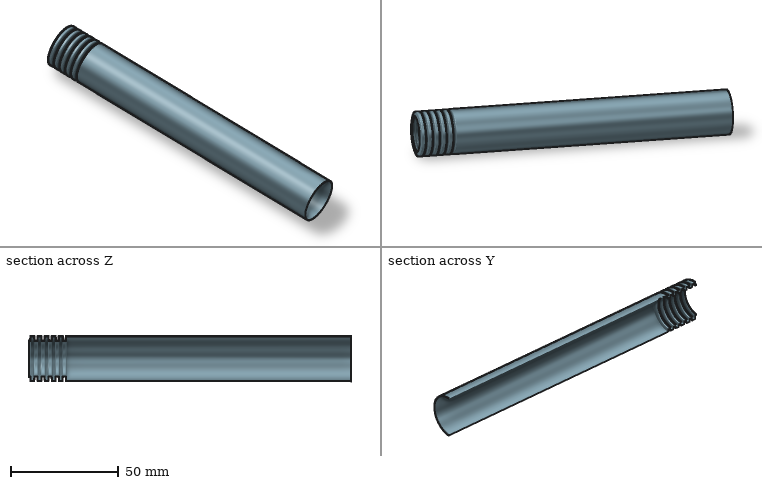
import math

import cadquery as cq

length = 150.0
outer_diameter = 21.3
root_outer_diameter = 17.1
wall = 0.35

rib_count = 5
pitch = 3.3
groove_width = pitch / 3
rib_width = pitch - groove_width
flank_run = 0.1

convex_radius = wall
concave_radius = wall / 2

first_rib_start = groove_width / 2
plain_tube_start = first_rib_start + rib_count * pitch


def rising_flank(x_mid, root_radius, crest_radius, root_fillet, crest_fillet):
    """Two corners (x, radius, fillet) of a flank that climbs from root to crest along +X."""
    return [
        (x_mid - flank_run / 2, root_radius, root_fillet),
        (x_mid + flank_run / 2, crest_radius, crest_fillet),
    ]


def falling_flank(x_mid, root_radius, crest_radius, root_fillet, crest_fillet):
    """Two corners (x, radius, fillet) of a flank that drops from crest to root along +X."""
    return [
        (x_mid - flank_run / 2, crest_radius, crest_fillet),
        (x_mid + flank_run / 2, root_radius, root_fillet),
    ]


def surface_corners(inset, root_fillet, crest_fillet):
    """Corners of the corrugated line that lies the given inset below the outer surface."""
    radii_and_fillets = (
        root_outer_diameter / 2 - inset,
        outer_diameter / 2 - inset,
        root_fillet,
        crest_fillet,
    )
    corners = []
    for index in range(rib_count):
        rib_start = first_rib_start + index * pitch
        rib_end = rib_start + rib_width
        corners += rising_flank(rib_start + inset, *radii_and_fillets)
        corners += falling_flank(rib_end - inset, *radii_and_fillets)
    corners += rising_flank(plain_tube_start + inset, *radii_and_fillets)
    return corners


def add_rounded_corner(path, before, corner, after):
    """Continue the path to a corner and round it with an arc tangent to both sides."""
    x, radius, fillet = corner
    apex = cq.Vector(x, radius)
    to_before = (cq.Vector(*before[:2]) - apex).normalized()
    to_after = (cq.Vector(*after[:2]) - apex).normalized()
    half_angle = to_before.getAngle(to_after) / 2
    tangent_length = fillet / math.tan(half_angle)
    apex_to_arc = fillet / math.sin(half_angle) - fillet
    arc_start = apex + to_before * tangent_length
    arc_middle = apex + (to_before + to_after).normalized() * apex_to_arc
    arc_end = apex + to_after * tangent_length
    return path.lineTo(arc_start.x, arc_start.y).threePointArc(
        (arc_middle.x, arc_middle.y), (arc_end.x, arc_end.y)
    )


def corrugated_solid(inset, root_fillet, crest_fillet):
    """Full solid of revolution under the corrugated line at the given inset."""
    corners = surface_corners(inset, root_fillet, crest_fillet)
    line_start = (0, corners[0][1])
    line_end = (length, corners[-1][1])
    points = [line_start, *corners, line_end]
    path = cq.Workplane("XY").lineTo(*line_start)
    for before, corner, after in zip(points, corners, points[2:]):
        path = add_rounded_corner(path, before, corner, after)
    section = path.lineTo(*line_end).lineTo(length, 0).close()
    return section.revolve(360, (0, 0, 0), (1, 0, 0))


outside = corrugated_solid(0, concave_radius, convex_radius)
cavity = corrugated_solid(wall, convex_radius, concave_radius)

result = outside.cut(cavity)